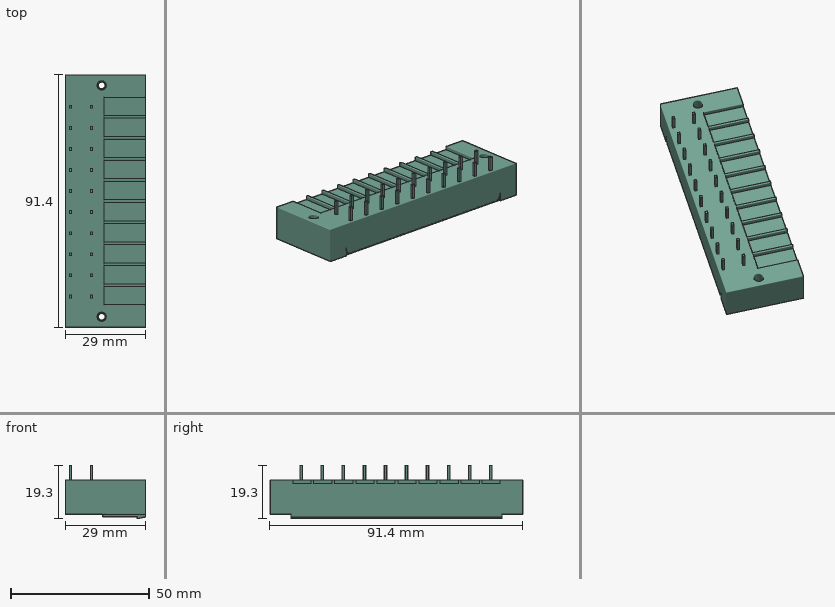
import cadquery as cq

housing_length_x = 29.0
housing_length_y = 91.4
housing_height = 12.5
edge_radius = 0.2

position_count = 10
pitch = 7.63
position_offsets = [(i - (position_count - 1) / 2) * pitch for i in range(position_count)]

pin_size_x = 0.8
pin_size_y = 1.0
pin_height = 5.2
pin_columns_x = [-12.7, -5.0]
pin_shift_y = -0.2

recess_start_x = -0.5
recess_depth = 1.3
rib_thickness = 1.0
recess_width = 75

hole_x = -1.4
hole_y = 41.9
hole_diameter = 2.4
counterbore_diameter = 3.3
counterbore_depth = 5.0

plate_start_x = -1.0
plate_thickness = 0.9
plate_overlap = edge_radius
plate_width = 76.4
plate_edge_radius = 0.3
hook_start_x = 11.4
hook_tip_width = 0.4
hook_depth = 1.6

relief_half_width = 37.9
relief_height = 0.55
relief_depth = 0.7
notch_width = 1.3
notch_height = 2.7

half_x = housing_length_x / 2
recess_length = half_x - recess_start_x
recess_center_x = recess_start_x + recess_length / 2
floor_z = housing_height - recess_depth

tolerance = 0.01


def is_rounded(edge):
    """True for the outer edges and the top edges of the two recess end walls."""
    center = edge.Center()
    in_recess = floor_z - tolerance < center.z < housing_height - tolerance
    on_inner_wall = abs(center.x - recess_start_x) < tolerance and abs(center.y) < tolerance
    return not in_recess and not on_inner_wall


def housing():
    block = cq.Workplane("XY").box(
        housing_length_x, housing_length_y, housing_height, centered=(True, True, False)
    )
    recess = (
        cq.Workplane("XY", origin=(recess_center_x, 0, floor_z))
        .rect(recess_length, recess_width)
        .extrude(recess_depth)
    )
    return block.cut(recess).edges().filter(is_rounded).fillet(edge_radius)


def ribs():
    """Ribs between neighbouring pockets, rounded along the top."""
    places = [
        (recess_center_x, (first + second) / 2)
        for first, second in zip(position_offsets, position_offsets[1:])
    ]
    return (
        cq.Workplane("XY", origin=(0, 0, floor_z))
        .pushPoints(places)
        .rect(recess_length, rib_thickness)
        .extrude(recess_depth)
        .edges("|X and >Z")
        .fillet(edge_radius)
    )


def mounting_hole(y):
    top = cq.Workplane("XY", origin=(hole_x, y, housing_height))
    bore = top.circle(hole_diameter / 2).extrude(-housing_height)
    counterbore = top.circle(counterbore_diameter / 2).extrude(-counterbore_depth)
    return bore.union(counterbore)


def latch_plate():
    profile = [
        (plate_start_x, plate_overlap),
        (plate_start_x, -plate_thickness),
        (hook_start_x, -plate_thickness),
        (hook_start_x, -hook_depth),
        (hook_start_x + hook_tip_width, -hook_depth),
        (half_x, -plate_thickness),
        (half_x, plate_overlap),
    ]
    plate = cq.Workplane("XZ").polyline(profile).close().extrude(plate_width / 2, both=True)
    return plate.faces("<X").edges("<Z").fillet(plate_edge_radius)


def relief():
    inner_y = relief_half_width - notch_width
    profile = [
        (-relief_half_width, 0),
        (-relief_half_width, notch_height),
        (-inner_y, relief_height),
        (inner_y, relief_height),
        (relief_half_width, notch_height),
        (relief_half_width, 0),
    ]
    return (
        cq.Workplane("YZ", origin=(-half_x, 0, 0)).polyline(profile).close().extrude(relief_depth)
    )


def is_relief_rim(edge):
    """True for the level and sloping upper edges of the relief on the -X face."""
    center = edge.Center()
    on_side_face = abs(center.x + half_x) < tolerance
    inside_relief = abs(center.y) < relief_half_width - tolerance and center.z < notch_height
    return on_side_face and inside_relief


def pins():
    places = [(x, y + pin_shift_y) for x in pin_columns_x for y in position_offsets]
    return (
        cq.Workplane("XY", origin=(0, 0, housing_height))
        .pushPoints(places)
        .rect(pin_size_x, pin_size_y)
        .extrude(pin_height)
    )


body = housing().cut(relief())
body = body.edges().filter(is_relief_rim).fillet(edge_radius)
body = body.union(ribs()).union(latch_plate())
for side in (-1, 1):
    body = body.cut(mounting_hole(side * hole_y))

body = body.faces(">Z").edges("%CIRCLE").fillet(edge_radius)

result = body.union(pins())